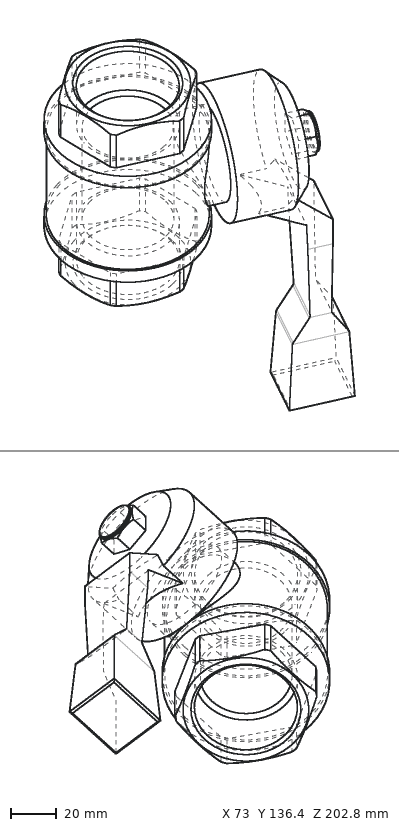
import cadquery as cq
import math

body_dia = 71.0
flange_dia = 73.0
flange_face_z = 31.2
flange_thickness = 6.7
body_half_length = 52.7

hex_flats = 55.5
hex_corner_dia = 62.6
hex_face_dia = 54.7
hex_bevel_angle = 30.0

bore_dia = 40.0
thread_dia = 44.8
thread_depth = 24.3
seat_angle = 30.0
thread_mouth_dia = 47.8

stem_dia = 43.8
bonnet_dia = 62.6
bonnet_start_y = 40.0
bonnet_end_y = 75.2
bonnet_chamfer = 7.3

nut_flats = 18.7
nut_end_y = 85.4
nut_bevel_angle = 30.0
nut_tip_dia = 18.2
nut_tip_length = 1.2
nut_tip_chamfer = 0.5

handle_end_z = body_half_length - 202.8
handle_width = 26.4
waist_width = 22.7
taper_start_z = -56.2
lever_outer_y = 89.8
elbow_inner_y = 77.7
elbow_z = -42.0
outer_root_rise = 22.3
root_inner_y = 52.7
root_inner_z = -26.8
neck_inner_y = 79.9
neck_z = -98.3
grip_start_z = -112.0
grip_center_y = 84.85
grip_start_depth = 26.2
grip_end_depth = 30.2
bend_radius = 2.6
grip_end_chamfer = 1.0


def cylinder_z(diameter, start, end):
    """Cylinder on the Z axis between two heights."""
    return cq.Workplane("XY").workplane(offset=start).circle(diameter / 2).extrude(end - start)


def cylinder_y(diameter, start, end):
    """Cylinder on the Y axis between two Y positions."""
    return cq.Workplane("XZ", origin=(0, start, 0)).circle(diameter / 2).extrude(start - end)


def hex_diameter(flats):
    """Corner-to-corner size of a hexagon."""
    return flats / math.cos(math.pi / 6)


def make_body():
    """Round body with two flanges and bevelled hexagonal ends."""
    bevel_radial = (hex_corner_dia - hex_face_dia) / 2
    bevel_height = bevel_radial * math.tan(math.radians(hex_bevel_angle))
    hexagon = (
        cq.Workplane("XY").workplane(offset=-body_half_length)
        .transformed(rotate=(0, 0, 90))
        .polygon(6, hex_diameter(hex_flats)).extrude(2 * body_half_length)
    )
    envelope = (
        cylinder_z(hex_corner_dia, -body_half_length, body_half_length)
        .faces("|Z").edges().chamfer(bevel_height, bevel_radial)
    )
    body = hexagon.intersect(envelope)
    body = body.union(cylinder_z(body_dia, -flange_face_z, flange_face_z))
    for start in (-flange_face_z, flange_face_z - flange_thickness):
        body = body.union(cylinder_z(flange_dia, start, start + flange_thickness))
    return body


def make_passage():
    """Through bore with a wider, chamfered socket and conical seat at each end."""
    bore_r = bore_dia / 2
    thread_r = thread_dia / 2
    mouth_r = thread_mouth_dia / 2
    socket_z = body_half_length - thread_depth
    seat_z = socket_z - (thread_r - bore_r) * math.tan(math.radians(seat_angle))
    mouth_z = body_half_length - (mouth_r - thread_r)
    outline = [
        (0, 0), (bore_r, 0), (bore_r, seat_z), (thread_r, socket_z),
        (thread_r, mouth_z), (mouth_r, body_half_length), (0, body_half_length),
    ]
    half = cq.Workplane("XZ").polyline(outline).close().revolve(360, (0, 0, 0), (0, 1, 0))
    return half.union(half.mirror("XY"))


def make_bonnet():
    """Round stem and chamfered bonnet."""
    bonnet = cylinder_y(bonnet_dia, bonnet_start_y, bonnet_end_y)
    bonnet = bonnet.faces(">Y").edges().chamfer(bonnet_chamfer)
    return bonnet.union(cylinder_y(stem_dia, 0, bonnet_start_y))


def make_nut():
    """Hexagonal nut with its corners pointing along Z and a bevel up to a short round tip."""
    corner_dia = hex_diameter(nut_flats)
    corner_r = corner_dia / 2
    tip_r = nut_tip_dia / 2
    tip_y = nut_end_y - nut_tip_length
    bevel_height = (corner_r - tip_r) * math.tan(math.radians(nut_bevel_angle))
    nut = (
        cq.Workplane("XZ", origin=(0, bonnet_end_y, 0))
        .transformed(rotate=(0, 0, 90))
        .polygon(6, corner_dia).extrude(bonnet_end_y - nut_end_y)
    )
    outline = [
        (0, bonnet_end_y), (corner_r, bonnet_end_y), (corner_r, tip_y - bevel_height),
        (tip_r, tip_y), (tip_r, nut_end_y - nut_tip_chamfer),
        (tip_r - nut_tip_chamfer, nut_end_y), (0, nut_end_y),
    ]
    envelope = cq.Workplane("XY").polyline(outline).close().revolve(360, (0, 0, 0), (0, 1, 0))
    return nut.intersect(envelope)


def make_handle():
    """Bent side profile trimmed to the waisted front outline."""
    side = [
        (root_inner_y, root_inner_z),
        (elbow_inner_y, elbow_z),
        (neck_inner_y, neck_z),
        (grip_center_y - grip_start_depth / 2, grip_start_z),
        (grip_center_y - grip_end_depth / 2, handle_end_z),
        (grip_center_y + grip_end_depth / 2, handle_end_z),
        (grip_center_y + grip_start_depth / 2, grip_start_z),
        (lever_outer_y, neck_z),
        (lever_outer_y, elbow_z),
        (lever_outer_y - outer_root_rise, elbow_z + outer_root_rise),
    ]
    profile = cq.Workplane("YZ").polyline(side).close().extrude(handle_width / 2, both=True)
    for bend_z in (neck_z, grip_start_z):
        bends = cq.selectors.BoxSelector(
            (-handle_width, 0, bend_z - 2), (handle_width, 2 * grip_center_y, bend_z + 2)
        )
        profile = profile.edges("|X").edges(bends).fillet(bend_radius)

    right_edge = [
        (handle_width / 2, 0),
        (handle_width / 2, taper_start_z),
        (waist_width / 2, neck_z),
        (waist_width / 2, grip_start_z),
        (handle_width / 2, handle_end_z),
    ]
    left_edge = [(-x, z) for x, z in reversed(right_edge)]
    front = (
        cq.Workplane("XZ").polyline(right_edge + left_edge).close()
        .extrude(-2 * grip_center_y)
    )
    handle = profile.intersect(front)
    return handle.faces("<Z").edges().chamfer(grip_end_chamfer)


result = (
    make_body()
    .union(make_bonnet())
    .union(make_nut())
    .union(make_handle())
    .cut(make_passage())
)